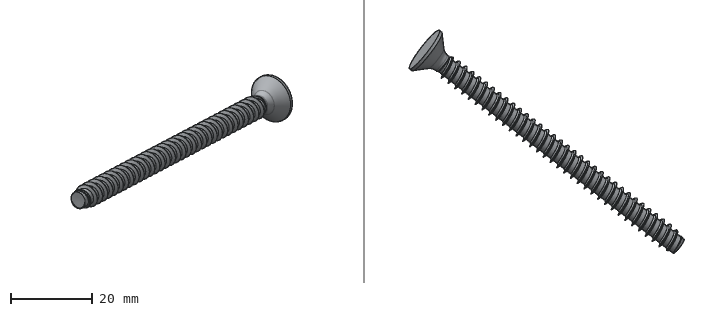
import cadquery as cq

length = 80.0

head_radius = 6.0
rim_height = 0.8
cone_end_depth = 3.65
cone_end_radius = head_radius - (cone_end_depth - rim_height)
neck_radius = 2.4
neck_start_depth = 5.35
neck_end_depth = 5.85

tip_dish_depth = 0.13

core_radius = 2.18
crest_radius = 3.05
pitch = 2.14
crest_half_width = 0.05

shoulder_radius = 2.45
shoulder_width = 0.16
flared_foot_width = 0.9
plain_foot_width = 0.42
root_overlap = 0.2
turns = 35
first_crest_depth = 7.73
thread_start_depth = first_crest_depth + (turns - 1) * pitch

fade_overlap = 0.1
envelope_radius = 4.0
fade_top_start = 5.5
fade_top_end = 7.1
fade_tip_start = 76.6
fade_tip_end = length


def revolve_about_axis(profile):
    """Turn a closed (radius, y) profile about the Y axis."""
    return profile.close().revolve(360, (0, 0, 0), (0, 1, 0))


def make_blank():
    """Head, concave neck and plain core with a dished tip."""
    profile = (
        cq.Workplane("XY")
        .lineTo(head_radius, 0)
        .lineTo(head_radius, -rim_height)
        .lineTo(cone_end_radius, -cone_end_depth)
        .tangentArcPoint((neck_radius, -neck_start_depth), relative=False)
        .lineTo(neck_radius, -neck_end_depth)
        .lineTo(core_radius, -neck_end_depth - (neck_radius - core_radius))
        .lineTo(core_radius, -length)
        .lineTo(0, -length + tip_dish_depth)
    )
    return revolve_about_axis(profile)


def make_helical_ridge():
    """Full-height right-handed ridge, bounded by ruled faces between helices."""
    sunk_radius = core_radius - root_overlap
    section = [
        (sunk_radius, -plain_foot_width),
        (crest_radius, -crest_half_width),
        (crest_radius, crest_half_width),
        (shoulder_radius, shoulder_width),
        (sunk_radius, flared_foot_width),
    ]
    helices = [
        cq.Wire.makeHelix(pitch, turns * pitch, radius).translate(cq.Vector(0, 0, offset))
        for radius, offset in section
    ]
    faces = [
        cq.Face.makeRuledSurface(helices[i], helices[(i + 1) % len(helices)])
        for i in range(len(helices))
    ]
    for end_height in (0, turns * pitch):
        corners = [cq.Vector(radius, 0, offset + end_height) for radius, offset in section]
        faces.append(cq.Face.makeFromWires(cq.Wire.makePolygon(corners, close=True)))
    ridge = cq.Solid.makeSolid(cq.Shell.makeShell(faces))
    ridge = ridge.rotate(cq.Vector(0, 0, 0), cq.Vector(1, 0, 0), -90)
    return cq.Workplane(obj=ridge.translate(cq.Vector(0, -thread_start_depth, 0)))


def make_thread_envelope():
    """Turned body whose tapered ends fade the ridge in and out."""
    fade_radius = core_radius - fade_overlap
    profile = (
        cq.Workplane("XY")
        .moveTo(0, -fade_top_start)
        .lineTo(fade_radius, -fade_top_start)
        .lineTo(crest_radius, -fade_top_end)
        .lineTo(envelope_radius, -fade_top_end)
        .lineTo(envelope_radius, -fade_tip_start)
        .lineTo(crest_radius, -fade_tip_start)
        .lineTo(fade_radius, -fade_tip_end)
        .lineTo(0, -fade_tip_end)
    )
    return revolve_about_axis(profile)


thread = make_helical_ridge().intersect(make_thread_envelope())
result = make_blank().union(thread)